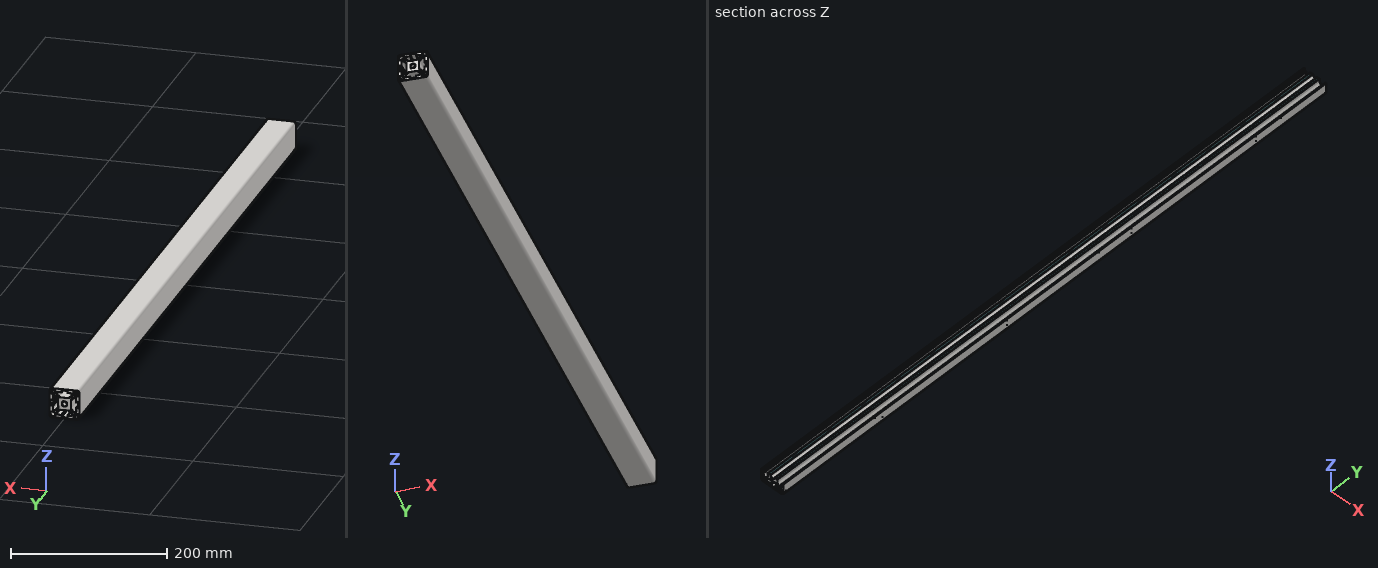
import cadquery as cq

width = 40.0
length = 1000.0
corner_radius = 4.0
half = width / 2

bore_diameter = 6.8

skin = 1.75
mouth_width = 8.0
lip_thickness = 4.5
slot_width = 20.0
slot_depth = 11.5
slot_rounding = 2.0
web_offset = 2.5

corner_wall = 1.75
corner_cavity_size = 6.0
corner_cavity_chamfer = 1.75
corner_cavity_radius = corner_radius - corner_wall


def extrude_full_length(profile):
    """Extrude an XZ profile to both ends of the bar, which is centered on the origin."""
    return profile.extrude(length / 2, both=True)


def make_bar():
    bar = extrude_full_length(cq.Workplane("XZ").rect(width, width))
    return bar.edges("|Y").fillet(corner_radius)


def make_bore():
    return extrude_full_length(cq.Workplane("XZ").circle(bore_diameter / 2))


def make_slot():
    """T-slot on the +Z side: a narrow mouth above a wide chamber that tapers to its floor."""
    lip_underside = half - lip_thickness
    slot_half = slot_width / 2
    taper_top = slot_half + web_offset
    floor = half - slot_depth
    floor_half = floor - web_offset
    chamber_profile = cq.Workplane("XZ").polyline([
        (slot_half, lip_underside),
        (slot_half, taper_top),
        (floor_half, floor),
        (-floor_half, floor),
        (-slot_half, taper_top),
        (-slot_half, lip_underside),
    ]).close()
    chamber = extrude_full_length(chamber_profile).edges("|Y").fillet(slot_rounding)

    mouth_top = half - skin
    mouth_profile = (
        cq.Workplane("XZ")
        .center(0, (mouth_top + floor) / 2)
        .rect(mouth_width, mouth_top - floor)
    )
    return chamber.union(extrude_full_length(mouth_profile))


def make_corner_cavity():
    """Square hollow in the +X +Z corner, rounded on the outside and chamfered at the web."""
    outer = half - corner_wall
    cavity_center = outer - corner_cavity_size / 2
    cavity = extrude_full_length(
        cq.Workplane("XZ")
        .center(cavity_center, cavity_center)
        .rect(corner_cavity_size, corner_cavity_size)
    )
    cavity = cavity.edges(">(1, 0, 1)").fillet(corner_cavity_radius)
    return cavity.edges("<(1, 0, 1)").chamfer(corner_cavity_chamfer)


result = make_bar().cut(make_bore())
for quarter_turn in range(4):
    for hollow in (make_slot(), make_corner_cavity()):
        result = result.cut(hollow.rotate((0, 0, 0), (0, 1, 0), 90 * quarter_turn))